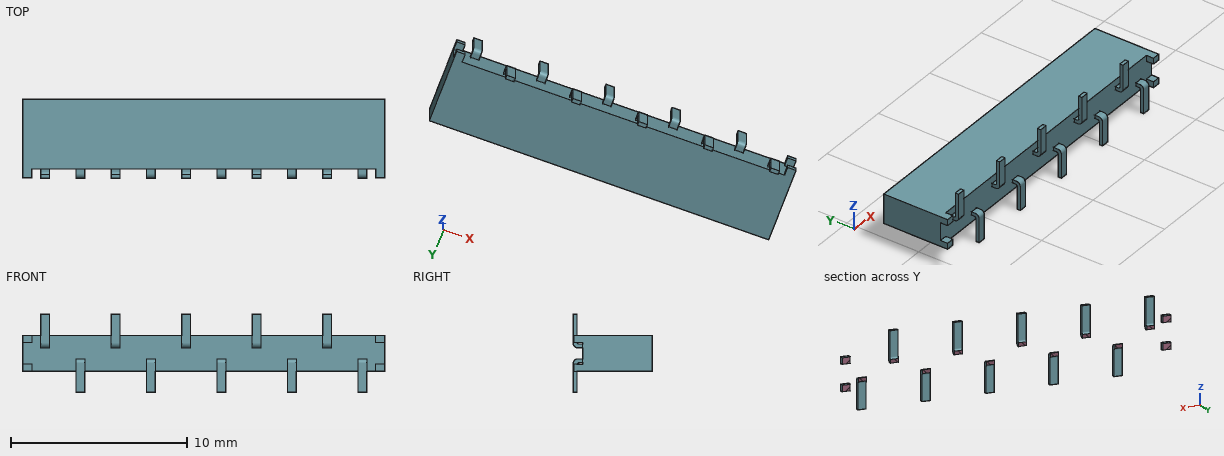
import cadquery as cq

housing_length = 20.55
housing_depth = 3.97
housing_height = 2.03
front_y = 0.0

foot_width = 0.51
foot_height = 0.41
foot_reach = 0.5

lead_count = 10
lead_row_span = 18.0
lead_pitch = lead_row_span / (lead_count - 1)
lead_width = 0.51
lead_thickness = 0.23
lead_reach = 0.53
lead_tip_z = 2.22
lead_inner_z = 0.3
outer_bend_radius = 0.27
inner_bend_radius = 0.12

strip_inset = 0.23
strip_thickness = lead_thickness
strip_back_y = front_y + strip_inset + strip_thickness
strip_height = 2 * (lead_inner_z + lead_thickness)
strip_length = lead_row_span + lead_width


def lead(center_x, side):
    """One L-shaped lead; side is +1 for a tip pointing up and -1 for a tip pointing down."""
    tip_y = front_y - lead_reach
    tip_back_y = tip_y + lead_thickness
    leg_outer_z = lead_inner_z + lead_thickness
    profile = (
        cq.Workplane("YZ", origin=(center_x - lead_width / 2, 0, 0))
        .moveTo(strip_back_y, side * lead_inner_z)
        .lineTo(tip_y + outer_bend_radius, side * lead_inner_z)
        .radiusArc((tip_y, side * (lead_inner_z + outer_bend_radius)), side * outer_bend_radius)
        .lineTo(tip_y, side * lead_tip_z)
        .lineTo(tip_back_y, side * lead_tip_z)
        .lineTo(tip_back_y, side * (leg_outer_z + inner_bend_radius))
        .radiusArc((tip_back_y + inner_bend_radius, side * leg_outer_z), -side * inner_bend_radius)
        .lineTo(strip_back_y, side * leg_outer_z)
        .close()
    )
    return profile.extrude(lead_width)


def make_contacts():
    """Carrier strip with all leads, tips pointing up and down in turn along X."""
    strip_center = (0, strip_back_y - strip_thickness / 2, 0)
    contacts = cq.Workplane(origin=strip_center).box(strip_length, strip_thickness, strip_height)
    for index in range(lead_count):
        center_x = -lead_row_span / 2 + index * lead_pitch
        side = 1 if index % 2 == 0 else -1
        contacts = contacts.union(lead(center_x, side))
    return contacts


def make_housing(contacts):
    """Bar with four corner feet, hollowed where the contacts pass through it."""
    bar_center = (0, front_y + housing_depth / 2, 0)
    housing = cq.Workplane(origin=bar_center).box(housing_length, housing_depth, housing_height)
    foot_centers = [
        (x_side * (housing_length - foot_width) / 2, z_side * (housing_height - foot_height) / 2)
        for x_side in (-1, 1)
        for z_side in (-1, 1)
    ]
    feet = (
        cq.Workplane("XZ", origin=(0, front_y, 0))
        .pushPoints(foot_centers)
        .rect(foot_width, foot_height)
        .extrude(foot_reach)
    )
    return housing.union(feet).cut(contacts)


contacts = make_contacts()
housing = make_housing(contacts)

result = cq.Compound.makeCompound([housing.solids().val(), contacts.solids().val()])